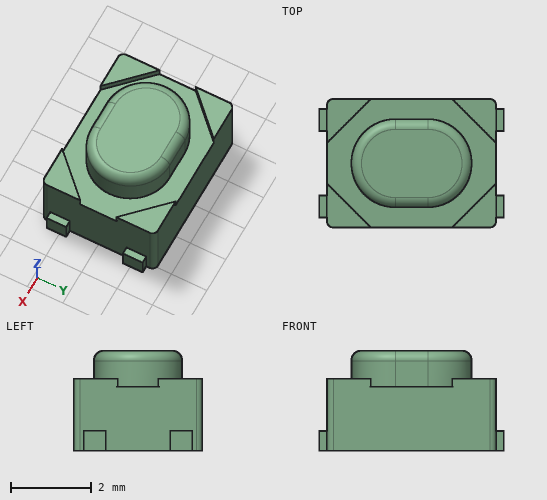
import cadquery as cq

body_length = 4.21
body_width = 3.2
body_height = 1.8
corner_radius = 0.15

recess_depth = 0.2
corner_leg = 1.095

overall_height = 2.5
button_length = 3.0
button_width = 2.2
button_straight = button_length - button_width
button_edge_radius = 0.25

overall_length = 4.6
terminal_width = 0.55
terminal_height = 0.5
terminal_offset = 1.075


def make_housing():
    """Rounded block with its top face recessed between four raised corners."""
    block = (
        cq.Workplane("XY")
        .box(body_length, body_width, body_height, centered=(True, True, False))
        .edges("|Z")
        .fillet(corner_radius)
    )
    half_length = body_length / 2
    half_width = body_width / 2
    inner_x = half_length - corner_leg
    inner_y = half_width - corner_leg
    recess = (
        cq.Workplane("XY")
        .workplane(offset=body_height - recess_depth)
        .polyline([
            (inner_x, half_width),
            (half_length, inner_y),
            (half_length, -inner_y),
            (inner_x, -half_width),
            (-inner_x, -half_width),
            (-half_length, -inner_y),
            (-half_length, inner_y),
            (-inner_x, half_width),
        ])
        .close()
        .extrude(recess_depth)
    )
    return block.cut(recess)


def make_button():
    """Oblong button standing on the recess floor, with a rounded top edge."""
    floor_height = body_height - recess_depth
    half_straight = button_straight / 2
    half_width = button_width / 2
    return (
        cq.Workplane("XY")
        .workplane(offset=floor_height)
        .moveTo(-half_straight, -half_width)
        .lineTo(half_straight, -half_width)
        .threePointArc((button_length / 2, 0), (half_straight, half_width))
        .lineTo(-half_straight, half_width)
        .threePointArc((-button_length / 2, 0), (-half_straight, -half_width))
        .close()
        .extrude(overall_height - floor_height)
        .faces(">Z")
        .edges()
        .fillet(button_edge_radius)
    )


def make_terminal_bar(y_centre):
    """Bar through the housing whose two ends form a pair of terminals."""
    return (
        cq.Workplane("XY")
        .center(0, y_centre)
        .box(overall_length, terminal_width, terminal_height, centered=(True, True, False))
    )


result = make_housing().union(make_button())
for side in (-1, 1):
    result = result.union(make_terminal_bar(side * terminal_offset))